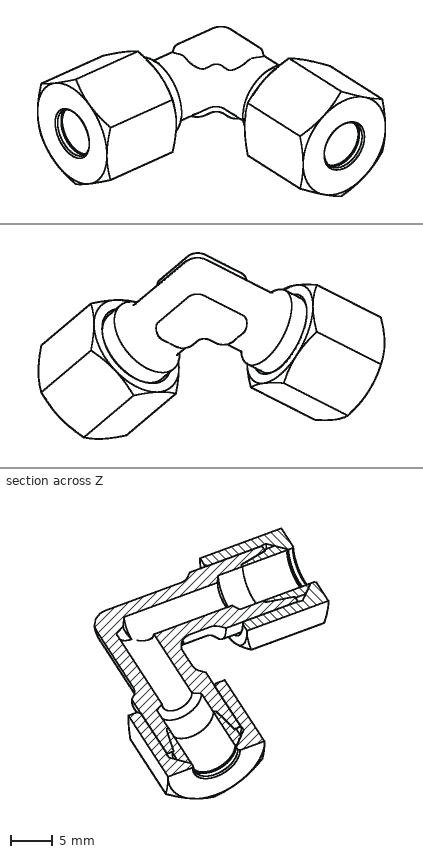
import cadquery as cq
import math


OVERALL = 29.85
HEX_FLATS = 13.0
HEX_FLAT_R = HEX_FLATS / 2
HEX_CORNER_R = HEX_FLAT_R / math.cos(math.pi / 6)
ARM_END = OVERALL - HEX_FLAT_R

NECK_R = 4.0
COLLAR_R = 5.0
COLLAR_START = 10.26
THREAD_END = 20.0
OUTER_BEND_R = 2.5
INNER_BEND_R = 2.0
FLARE_BLEND_R = 1.5
BLEND_RUN = FLARE_BLEND_R * math.sin(math.pi / 4)
BLEND_RISE = FLARE_BLEND_R - BLEND_RUN
FLARE_R = NECK_R + BLEND_RISE
FLARE_START = COLLAR_START - (COLLAR_R - FLARE_R)
NECK_END = FLARE_START - BLEND_RUN

PAD_TOP = 4.03
PAD_BASE = 2.55
PAD_HALF_WIDTH = 2.5
PAD_REACH = 5.97
PAD_DRAFT = math.radians(10)
PAD_CORNER_R = 1.58
PAD_INSIDE_R = 1.0
PAD_RIM_R = 0.3

FLOW_R = 2.0
TUBE_R = 2.98
DRILL_HALF_ANGLE = math.radians(59)
DRILL_TIP = FLOW_R / math.tan(DRILL_HALF_ANGLE)
TUBE_STOP = 13.13
TUBE_STOP_END = TUBE_STOP - (TUBE_R - FLOW_R) / math.tan(DRILL_HALF_ANGLE)

CONE_HALF_ANGLE = math.radians(12)
CONE_MOUTH_R = 4.05
CONE_SEAT = 16.4
CONE_SEAT_R = CONE_MOUTH_R - (THREAD_END - CONE_SEAT) * math.tan(CONE_HALF_ANGLE)

NUT_LENGTH = 10.98
NUT_START = ARM_END - NUT_LENGTH
CHAMFER_ANGLE = math.radians(30)
HEX_CHAMFER = (HEX_CORNER_R - HEX_FLAT_R) * math.tan(CHAMFER_ANGLE)
MOUTH_CHAMFER = 0.27
EDGE_BREAK = 0.2
LIP_LENGTH = 0.75
SHOULDER_END = ARM_END - LIP_LENGTH
SHOULDER_START = SHOULDER_END - (COLLAR_R - TUBE_R)

RING_GAP = 0.2
RING_R = 4.33
RING_END = SHOULDER_END - RING_GAP
RING_END_R = TUBE_R + RING_GAP
RING_SHOULDER = RING_END - (RING_R - RING_END_R)


def revolve_on_x(points):
    """Revolve a closed (x, radius) polygon about the X axis."""
    return cq.Workplane("XY").polyline(points).close().revolve(360, (0, 0, 0), (1, 0, 0))


def on_second_arm(shape):
    """Move a shape made on the +X arm to the -Y arm."""
    return shape.mirror("YZ").rotate((0, 0, 0), (0, 0, 1), 90)


def pad_outline(side, reach):
    """Corners of the L that follows both arms."""
    return [
        (-side, side),
        (reach, side),
        (reach, -side),
        (side, -side),
        (side, -reach),
        (-side, -reach),
    ]


def make_pad():
    """L-shaped pad with drafted walls and a rounded rim, on the top of the elbow."""
    height = PAD_TOP - PAD_BASE
    spread = height * math.tan(PAD_DRAFT)
    pad = (
        cq.Workplane("XY", origin=(0, 0, PAD_BASE))
        .polyline(pad_outline(PAD_HALF_WIDTH + spread, PAD_REACH + spread))
        .close()
        .workplane(offset=height)
        .polyline(pad_outline(PAD_HALF_WIDTH, PAD_REACH))
        .close()
        .loft(ruled=True)
    )
    low = PAD_BASE + height / 4
    high = PAD_TOP - height / 4
    all_uprights = cq.selectors.BoxSelector((-OVERALL, -OVERALL, low), (OVERALL, OVERALL, high))
    inside_upright = cq.selectors.BoxSelector(
        (PAD_HALF_WIDTH - spread, -PAD_HALF_WIDTH - spread, low),
        (PAD_HALF_WIDTH + spread, -PAD_HALF_WIDTH + spread, high),
    )
    pad = pad.edges(all_uprights - inside_upright).fillet(PAD_CORNER_R)
    pad = pad.edges(inside_upright).fillet(PAD_INSIDE_R)
    return pad.faces(">Z").edges().fillet(PAD_RIM_R)


def make_corner():
    """Two necks mitred together, with both pads and a rounded bend outside and inside."""
    path = cq.Workplane("XY").polyline([(0, -NECK_END), (0, 0), (NECK_END, 0)])
    corner = (
        cq.Workplane("XZ", origin=(0, -NECK_END, 0))
        .circle(NECK_R)
        .sweep(path, transition="right")
    )
    pad = make_pad()
    corner = corner.union(pad).union(pad.mirror("XY"))
    for side, radius in ((-1, OUTER_BEND_R), (1, INNER_BEND_R)):
        mitre = corner.edges("%ELLIPSE").filter(lambda edge: edge.Center().x * side > 0)
        corner = mitre.fillet(radius)
    return corner


def make_arm():
    """Flare and threaded collar that continue the neck along +X."""
    blend_middle = (
        NECK_END + FLARE_BLEND_R * math.sin(math.pi / 8),
        NECK_R + FLARE_BLEND_R * (1 - math.cos(math.pi / 8)),
    )
    return (
        cq.Workplane("XY")
        .moveTo(NECK_END, 0)
        .lineTo(NECK_END, NECK_R)
        .threePointArc(blend_middle, (FLARE_START, FLARE_R))
        .lineTo(COLLAR_START, COLLAR_R)
        .lineTo(THREAD_END, COLLAR_R)
        .lineTo(THREAD_END, 0)
        .close()
        .revolve(360, (0, 0, 0), (1, 0, 0))
    )


def make_bore():
    """Drilled flow bore, tube socket and 24-degree cone along +X."""
    return revolve_on_x([
        (-DRILL_TIP, 0),
        (0, FLOW_R),
        (TUBE_STOP_END, FLOW_R),
        (TUBE_STOP, TUBE_R),
        (CONE_SEAT, TUBE_R),
        (CONE_SEAT, CONE_SEAT_R),
        (THREAD_END, CONE_MOUTH_R),
        (THREAD_END, 0),
    ])


def make_elbow():
    arm = make_arm()
    bore = make_bore()
    elbow = make_corner().union(arm).union(on_second_arm(arm))
    return elbow.cut(bore).cut(on_second_arm(bore))


def make_nut():
    """Hexagon nut on the +X arm, corners up and down, chamfered at both ends."""
    hexagon = (
        cq.Workplane("YZ", origin=(NUT_START, 0, 0))
        .polygon(6, 2 * HEX_CORNER_R)
        .extrude(NUT_LENGTH)
        .rotate((0, 0, 0), (1, 0, 0), 30)
    )
    envelope = revolve_on_x([
        (NUT_START, 0),
        (NUT_START, HEX_FLAT_R),
        (NUT_START + HEX_CHAMFER, HEX_CORNER_R),
        (ARM_END - HEX_CHAMFER, HEX_CORNER_R),
        (ARM_END, HEX_FLAT_R),
        (ARM_END, 0),
    ])
    hole = revolve_on_x([
        (NUT_START, 0),
        (NUT_START, COLLAR_R + MOUTH_CHAMFER),
        (NUT_START + MOUTH_CHAMFER, COLLAR_R),
        (SHOULDER_START, COLLAR_R),
        (SHOULDER_END, TUBE_R),
        (ARM_END - EDGE_BREAK, TUBE_R),
        (ARM_END, TUBE_R + EDGE_BREAK),
        (ARM_END, 0),
    ])
    return hexagon.intersect(envelope).cut(hole)


def make_cutting_ring():
    """Ring between the elbow's 24-degree cone and the nut's 45-degree shoulder."""
    return revolve_on_x([
        (CONE_SEAT, TUBE_R),
        (CONE_SEAT, CONE_SEAT_R),
        (THREAD_END, CONE_MOUTH_R),
        (THREAD_END, RING_R),
        (RING_SHOULDER, RING_R),
        (RING_END, RING_END_R),
        (RING_END, TUBE_R),
    ])


bodies = [make_elbow().val()]
for part in (make_nut(), make_cutting_ring()):
    for placed in (part, on_second_arm(part)):
        bodies.append(placed.val())

result = cq.Compound.makeCompound(bodies)